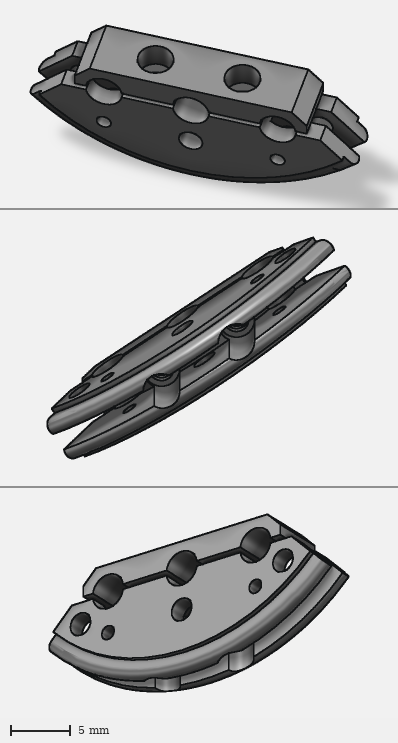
import cadquery as cq
import math

LENGTH = 28.63
THICKNESS = 5.0
SECTOR_ANGLE = 90.0

RIM_RADIUS = LENGTH / 2 / math.sin(math.radians(SECTOR_ANGLE / 2))
STEP_RADIUS = 18.72
STEP_DEPTH = 0.45
RIM_ROUND = 0.8
SLOT_WIDTH = 1.6
SLOT_ROOF_RADIUS = 13.85
BASE_TOP = -11.3

CLAMP_GAP = 0.5
CAP_BOTTOM = BASE_TOP + CLAMP_GAP
CAP_HEIGHT = 2.3
CAP_LENGTH = 20.27
CAP_CHAMFER = 1.32

CROSS_HOLE_SPACING = 7.6
CROSS_HOLE_XS = (-CROSS_HOLE_SPACING, 0, CROSS_HOLE_SPACING)
CLAMP_BORE_RADIUS = 1.57
CLAMP_BORE_Z = BASE_TOP + CLAMP_GAP / 2
PIN_ROW_Z = -14.92
PIN_HOLE_RADIUS = 0.63
CENTRE_HOLE_RADIUS = 1.03
SCREW_XS = (-CROSS_HOLE_SPACING / 2, CROSS_HOLE_SPACING / 2)
SCREW_CLEARANCE_RADIUS = 1.52
SCREW_HOLE_RADIUS = 1.03
SCREW_POCKET_RADIUS = SCREW_CLEARANCE_RADIUS
SCREW_POCKET_TOP = -12.3
REAR_HOLE_XS = (-10.42, 10.42)
REAR_HOLE_Z = -13.3
REAR_HOLE_RADIUS = 1.03


def cross_hole(x, z, radius):
    """Cutter along Y through the whole thickness."""
    return (
        cq.Workplane("XZ")
        .center(x, z)
        .circle(radius)
        .extrude(THICKNESS, both=True)
    )


def screw_holes(body, radius):
    """Cut the vertical screw holes through a body."""
    for x in SCREW_XS:
        cutter = (
            cq.Workplane("XY")
            .center(x, 0)
            .circle(radius)
            .extrude(-RIM_RADIUS)
        )
        body = body.cut(cutter)
    return body


def clamp_bores(body):
    """Cut the bores that are shared by the base and the cap."""
    for x in CROSS_HOLE_XS:
        body = body.cut(cross_hole(x, CLAMP_BORE_Z, CLAMP_BORE_RADIUS))
    return body


def make_sector():
    """Revolve the stepped, slotted section about Y, centred on the -Z direction."""
    face_y = THICKNESS / 2
    rim_y = face_y - STEP_DEPTH
    slot_y = SLOT_WIDTH / 2
    crest_y = rim_y - RIM_ROUND
    round_centre = RIM_RADIUS - RIM_ROUND
    lip_radius = round_centre + math.sqrt(RIM_ROUND**2 - (crest_y - slot_y) ** 2)
    section = (
        cq.Workplane("XY")
        .moveTo(0, -face_y)
        .lineTo(STEP_RADIUS, -face_y)
        .lineTo(STEP_RADIUS, -rim_y)
        .lineTo(round_centre, -rim_y)
        .threePointArc((RIM_RADIUS, -crest_y), (lip_radius, -slot_y))
        .lineTo(SLOT_ROOF_RADIUS, -slot_y)
        .lineTo(SLOT_ROOF_RADIUS, slot_y)
        .lineTo(lip_radius, slot_y)
        .threePointArc((RIM_RADIUS, crest_y), (round_centre, rim_y))
        .lineTo(STEP_RADIUS, rim_y)
        .lineTo(STEP_RADIUS, face_y)
        .lineTo(0, face_y)
        .close()
    )
    start_angle = 90 - SECTOR_ANGLE / 2
    return (
        section.revolve(SECTOR_ANGLE, (0, 0, 0), (0, 1, 0))
        .rotate((0, 0, 0), (0, 1, 0), start_angle)
    )


def screw_pockets(base):
    """Counterbore the screw holes from below, notching both sides of the slot."""
    for x in SCREW_XS:
        cutter = (
            cq.Workplane("XY", origin=(x, 0, SCREW_POCKET_TOP))
            .circle(SCREW_POCKET_RADIUS)
            .extrude(-RIM_RADIUS)
        )
        base = base.cut(cutter)
    return base


def rear_holes(base):
    """Cut the end holes that pass through the +Y plate only."""
    for x in REAR_HOLE_XS:
        cutter = (
            cq.Workplane("XZ")
            .center(x, REAR_HOLE_Z)
            .circle(REAR_HOLE_RADIUS)
            .extrude(-THICKNESS)
        )
        base = base.cut(cutter)
    return base


def make_base():
    above_base = (
        cq.Workplane("XY", origin=(0, 0, BASE_TOP))
        .rect(2 * LENGTH, 2 * THICKNESS)
        .extrude(-BASE_TOP + RIM_RADIUS)
    )
    base = make_sector().cut(above_base)
    base = clamp_bores(base)
    base = screw_holes(base, SCREW_HOLE_RADIUS)
    base = screw_pockets(base)
    base = rear_holes(base)
    for x in CROSS_HOLE_XS:
        radius = CENTRE_HOLE_RADIUS if x == 0 else PIN_HOLE_RADIUS
        base = base.cut(cross_hole(x, PIN_ROW_Z, radius))
    return base


def make_cap():
    cap = (
        cq.Workplane("XY", origin=(0, 0, CAP_BOTTOM))
        .rect(CAP_LENGTH, THICKNESS)
        .extrude(CAP_HEIGHT)
        .edges("|Y and >Z")
        .chamfer(CAP_CHAMFER)
    )
    cap = clamp_bores(cap)
    return screw_holes(cap, SCREW_CLEARANCE_RADIUS)


base = make_base()
cap = make_cap()
result = cq.Compound.makeCompound([base.val(), cap.val()])